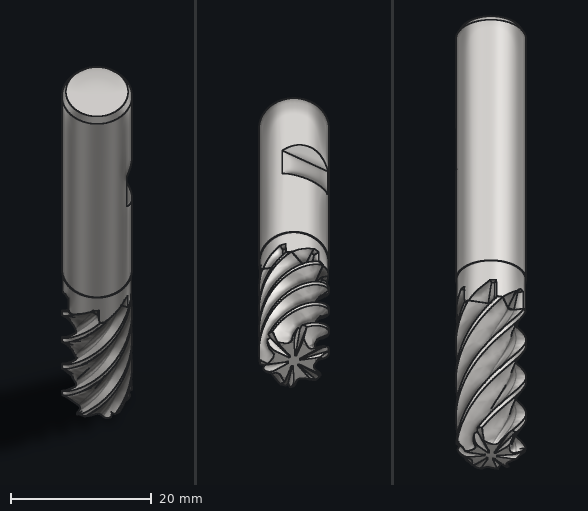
import cadquery as cq
import math

total_length = 72.0
shank_diameter = 10.0
shank_radius = shank_diameter / 2
neck_radius = 4.9
neck_top = 30.0
cutter_length = 24.0

end_chamfer_height = 1.0
end_chamfer_width = 0.6

flat_center_z = 51.9
flat_length = 7.0
flat_depth = 1.6

flute_count = 6
tooth_pitch = 360.0 / flute_count
helix_lead = 37.6
helix_twist = 360.0 * cutter_length / helix_lead
land_angle = 9.3
floor_start_angle = 42.3
floor_start_radius = 3.0
floor_end_angle = 57.5
floor_end_radius = 3.5
corner_radius = 2.0

gash_wall_angle = 24.0
gash_depth = 1.95
gash_top_width = 1.1
gash_mouth_width = 2.3
gash_inner_radius = 0.9
gash_inner_fraction = 0.1

runout_height = 2.8
runout_floor_radius = 4.1
runout_bottom_angle = 56.5
runout_top_angle = 13.0

land_clearance = 0.035
overshoot = 0.7


def polar(radius, angle):
    """Point in the XY plane at an angle in degrees."""
    return (radius * math.cos(math.radians(angle)), radius * math.sin(math.radians(angle)))


def make_shank_blank():
    """Turned profile of the shank and neck."""
    return (
        cq.Workplane("XZ")
        .moveTo(0, cutter_length)
        .lineTo(neck_radius, cutter_length)
        .lineTo(neck_radius, neck_top)
        .lineTo(shank_radius, neck_top)
        .lineTo(shank_radius, total_length - end_chamfer_height)
        .lineTo(shank_radius - end_chamfer_width, total_length)
        .lineTo(0, total_length)
        .close()
        .revolve(360, (0, 0, 0), (0, 1, 0))
    )


def make_clamping_flat():
    """Trapezoidal prism that leaves the flat and its 45 degree ends."""
    floor_y = shank_radius - flat_depth
    outer_y = shank_radius + overshoot
    half_floor = flat_length / 2
    half_mouth = half_floor + outer_y - floor_y
    return (
        cq.Workplane("YZ")
        .moveTo(floor_y, flat_center_z - half_floor)
        .lineTo(floor_y, flat_center_z + half_floor)
        .lineTo(outer_y, flat_center_z + half_mouth)
        .lineTo(outer_y, flat_center_z - half_mouth)
        .close()
        .extrude(shank_radius + overshoot, both=True)
    )


def make_runout(edge_angle):
    """Flute run-out in the neck: the flute section shrinking upward to a small notch."""
    outer_radius = shank_radius + overshoot
    floor_inset = runout_top_angle / 4
    bottom = [
        polar(outer_radius, edge_angle - runout_bottom_angle),
        polar(floor_start_radius, edge_angle - tooth_pitch + floor_start_angle),
        polar(floor_end_radius, edge_angle - tooth_pitch + floor_end_angle),
        polar(outer_radius, edge_angle),
    ]
    top = [
        polar(outer_radius, edge_angle - runout_top_angle),
        polar(runout_floor_radius, edge_angle - runout_top_angle + floor_inset),
        polar(runout_floor_radius, edge_angle - floor_inset),
        polar(outer_radius, edge_angle),
    ]
    return (
        cq.Workplane("XY", origin=(0, 0, cutter_length))
        .polyline(bottom)
        .close()
        .workplane(offset=runout_height)
        .polyline(top)
        .close()
        .loft(ruled=True)
    )


def make_shank():
    shank = make_shank_blank().cut(make_clamping_flat())
    for i in range(flute_count):
        shank = shank.cut(make_runout(helix_twist + i * tooth_pitch))
    return shank


def make_fluted_bar():
    """Six-tooth section swept along the helix from below the tip; one edge crosses +X at Z = 0."""
    section = cq.Workplane("XY").moveTo(*polar(shank_radius, 0))
    for i in range(flute_count):
        edge = i * tooth_pitch
        section = (
            section
            .threePointArc(polar(shank_radius, edge + land_angle / 2), polar(shank_radius, edge + land_angle))
            .lineTo(*polar(floor_start_radius, edge + floor_start_angle))
            .tangentArcPoint(polar(floor_end_radius, edge + floor_end_angle), relative=False)
            .lineTo(*polar(shank_radius, edge + tooth_pitch))
        )
    extra_twist = helix_twist * overshoot / cutter_length
    return (
        section.close()
        .twistExtrude(cutter_length + overshoot, helix_twist + extra_twist)
        .rotate((0, 0, 0), (0, 0, 1), -extra_twist)
        .translate((0, 0, -overshoot))
    )


def make_tip_envelope():
    """Cylinder with a rounded tip that trims the fluted bar; it clears the lands slightly."""
    outer_radius = shank_radius + land_clearance
    return (
        cq.Workplane("XY")
        .circle(outer_radius)
        .extrude(cutter_length + overshoot)
        .faces("<Z")
        .edges()
        .fillet(corner_radius)
    )


def gash_section(fraction):
    """Gash profile as (across, height) points, scaled to a fraction of its full size."""
    mouth = -gash_mouth_width * fraction
    top = -gash_top_width * fraction
    depth = gash_depth * fraction
    return [(0, -overshoot), (mouth, -overshoot), (mouth, 0), (top, depth), (0, depth)]


def make_gash(wall_angle):
    """Notch with an upright wall and a sloping back, growing from the centre to the rim."""
    return (
        cq.Workplane("YZ", origin=(gash_inner_radius, 0, 0))
        .polyline(gash_section(gash_inner_fraction))
        .close()
        .workplane(offset=shank_radius + overshoot - gash_inner_radius)
        .polyline(gash_section(1.0))
        .close()
        .loft(ruled=True)
        .rotate((0, 0, 0), (0, 0, 1), wall_angle)
    )


def make_cutter():
    cutter = make_fluted_bar().intersect(make_tip_envelope())
    for i in range(flute_count):
        cutter = cutter.cut(make_gash(gash_wall_angle + i * tooth_pitch))
    return cutter


shank = make_shank()
cutter = make_cutter()

result = cq.Compound.makeCompound([shank.val(), cutter.val()])